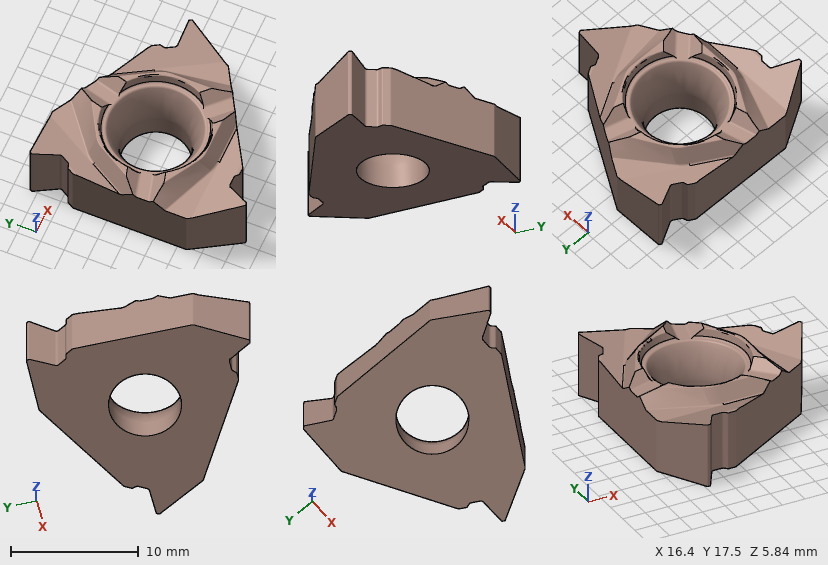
import cadquery as cq
import math

CORNER_ANGLES = (0, 120, 240)

height = 5.84
flat_distance = 6.35
flank_start_y = -5.35
tip_y = -9.32
tooth_angle = 59
notch_y = -7.35
notch_x = -2.52
nub_x = -1.55
nub_y = -7.65
flank_round = 0.21
tip_round = 0.1
notch_round = 0.26
nub_foot_round = 0.28
nub_tip_round = 0.14
nub_end_round = 0.21

floor_z = 4.61
wall_base_y = -5.6
wall_base_corner_x = -1.08
wall_base_angle = 21.4
wall_top_y = -4.68
wall_top_corner_x = -1.35
wall_top_angle = 30
wall_base_bend_radius = 2.8
wall_top_bend_radius = 2.1
wall_foot_round = 0.17
brim_round = 0.09
rake_start_y = -5.72
rake_angle = 15
rake_round = 0.4
nub_top_z = 5.07
nub_top_y = -7.38

slot_direction = -45
slot_floor_z = nub_top_z
slot_floor_width = 1.07
slot_top_width = 3.02
slot_offset = -0.096
slot_foot_round = 0.35

bore_radius = 5.7 / 2
seat_round = 4.9
seat_angle = 37
lip_round = 0.25
ledge_z = slot_floor_z
ledge_foot_radius = 4.28
ledge_foot_round = 0.15
ledge_top_radius = 4.44
ledge_edge_round = 0.1

reach = 12.24
clearance = 0.17


def turned(point, degrees):
    """Turn a point about the origin."""
    x, y = point
    cosine = math.cos(math.radians(degrees))
    sine = math.sin(math.radians(degrees))
    return (x * cosine - y * sine, x * sine + y * cosine)


def rounded_outline(plane, corners):
    """Closed outline through (point, radius) corners, rounded where radius > 0."""
    vertices = [cq.Vector(*point) for point, _ in corners]
    stretches = []
    for i, (_, radius) in enumerate(corners):
        corner = vertices[i]
        back = (vertices[i - 1] - corner).normalized()
        ahead = (vertices[(i + 1) % len(vertices)] - corner).normalized()
        if radius == 0:
            stretches.append([corner])
            continue
        half = back.getAngle(ahead) / 2
        setback = radius / math.tan(half)
        to_arc = radius / math.sin(half) - radius
        middle = corner + (back + ahead).normalized() * to_arc
        stretches.append([corner + back * setback, middle, corner + ahead * setback])

    outline = plane.moveTo(*stretches[0][-1].toTuple()[:2])
    for stretch in stretches[1:] + stretches[:1]:
        points = [p.toTuple()[:2] for p in stretch]
        outline = outline.lineTo(*points[0])
        if len(points) == 3:
            outline = outline.threePointArc(points[1], points[2])
    return outline.close()


def at_each_corner(shape):
    """Join copies of a shape turned to all three corners."""
    copies = cq.Workplane()
    for angle in CORNER_ANGLES:
        copies = copies.add(shape.rotate((0, 0, 0), (0, 0, 1), angle))
    return copies.combine()


def make_body():
    """Full-height prism with three pointed teeth."""
    flank_run = 1 / math.tan(math.radians(tooth_angle))
    tip_left_x = -flat_distance + (flank_start_y - tip_y) * flank_run
    tip_right_x = notch_x - (notch_y - tip_y) * flank_run
    side = math.radians(60)
    nub_end_x = (flat_distance + nub_y * math.sin(side)) / math.cos(side)
    corner = [
        ((-flat_distance, flank_start_y), flank_round),
        ((tip_left_x, tip_y), tip_round),
        ((tip_right_x, tip_y), tip_round),
        ((notch_x, notch_y), notch_round),
        ((nub_x, notch_y), nub_foot_round),
        ((nub_x + notch_y - nub_y, nub_y), nub_tip_round),
        ((nub_end_x, nub_y), nub_end_round),
    ]
    corners = [(turned(point, angle), radius) for angle in CORNER_ANGLES for point, radius in corner]
    return rounded_outline(cq.Workplane(), corners).extrude(height)


def pocket_outline(plane, wall_y, corner_x, angle, radius):
    """Pocket section: the bent wall on the +Y side, open ground on the others."""
    far_x = -flat_distance - clearance
    far_y = wall_y + (corner_x - far_x) * math.tan(math.radians(angle))
    corners = [
        ((far_x, far_y), 0),
        ((far_x, -reach), 0),
        ((reach / 2, -reach), 0),
        ((reach / 2, wall_y), 0),
        ((corner_x, wall_y), radius),
    ]
    return rounded_outline(plane, corners)


def make_pocket():
    """Chip pocket of one corner, bounded below by the floor and the rake face."""
    base = pocket_outline(
        cq.Workplane(), wall_base_y, wall_base_corner_x, wall_base_angle, wall_base_bend_radius
    )
    sections = pocket_outline(
        base.workplane(offset=height - floor_z),
        wall_top_y, wall_top_corner_x, wall_top_angle, wall_top_bend_radius,
    )
    pocket = sections.loft(ruled=True).translate((0, 0, floor_z))
    on_wall = cq.selectors.BoxSelector(
        (-flat_distance, wall_base_y - clearance, floor_z - clearance),
        (reach, 0, floor_z + clearance),
    )
    pocket = pocket.edges(on_wall).fillet(wall_foot_round)

    rake_end_z = floor_z + (rake_start_y + reach) * math.tan(math.radians(rake_angle))
    above_rake = rounded_outline(
        cq.Workplane("YZ"),
        [
            ((0, floor_z), 0),
            ((0, 2 * height), 0),
            ((-reach, 2 * height), 0),
            ((-reach, rake_end_z), 0),
            ((rake_start_y, floor_z), rake_round),
        ],
    ).extrude(reach, both=True)
    return pocket.intersect(above_rake)


def make_nub_relief():
    """Flat top on the nub, just below the rake face."""
    depth = nub_top_y - nub_y + clearance
    relief = cq.Workplane().box(-nub_x, depth, height - nub_top_z, centered=False)
    return relief.translate((nub_x, nub_y - clearance, nub_top_z))


def make_slot():
    """Flat-bottomed slot with sloping sides, from the axis outwards."""
    floor_half = slot_floor_width / 2
    top_half = slot_top_width / 2
    section = rounded_outline(
        cq.Workplane("YZ"),
        [
            ((slot_offset - top_half, height), 0),
            ((slot_offset - floor_half, slot_floor_z), slot_foot_round),
            ((slot_offset + floor_half, slot_floor_z), slot_foot_round),
            ((slot_offset + top_half, height), 0),
        ],
    )
    return section.extrude(reach).rotate((0, 0, 0), (0, 0, 1), slot_direction)


def make_bore():
    """Bore, screw seat and ledge as one turned shape."""
    angle = math.radians(seat_angle)
    seat_top_radius = bore_radius + seat_round * (1 - math.cos(angle))
    seat_top_z = ledge_z - lip_round * (1 - math.sin(angle))
    seat_bottom_z = seat_top_z - seat_round * math.sin(angle)
    lip_radius = seat_top_radius + lip_round * math.cos(angle)
    profile = (
        cq.Workplane("XZ")
        .lineTo(bore_radius, 0)
        .lineTo(bore_radius, seat_bottom_z)
        .tangentArcPoint((seat_top_radius, seat_top_z), relative=False)
        .tangentArcPoint((lip_radius, ledge_z), relative=False)
        .lineTo(ledge_foot_radius - ledge_foot_round, ledge_z)
        .tangentArcPoint((ledge_foot_radius, ledge_z + ledge_foot_round), relative=False)
        .lineTo(ledge_top_radius, height - ledge_edge_round)
        .radiusArc((ledge_top_radius + ledge_edge_round, height), ledge_edge_round)
        .lineTo(0, height)
        .close()
    )
    return profile.revolve(360, (0, 0, 0), (0, 1, 0))


def round_pocket_brims(body):
    """Round the upper edges of the pocket walls, leaving the flat sides sharp."""
    def inside_flats(edge):
        middle = edge.Center()
        return math.hypot(middle.x, middle.y) < flat_distance

    brims = body.faces(">Z").edges().filter(inside_flats)
    return brims.fillet(brim_round)


pocketed_body = make_body().cut(at_each_corner(make_pocket()))
result = (
    round_pocket_brims(pocketed_body)
    .cut(at_each_corner(make_nub_relief()))
    .cut(at_each_corner(make_slot()))
    .cut(make_bore())
)